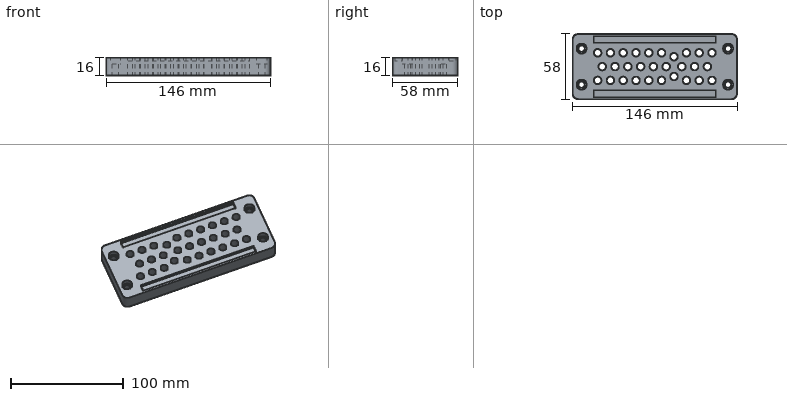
import cadquery as cq

LENGTH = 146.0
WIDTH = 58.0
HEIGHT = 16.0
CORNER_RADIUS = 5.0

MOUNT_SPACING_X = 130.0
MOUNT_SPACING_Y = 32.0
MOUNT_HOLE_DIAMETER = 5.5
COUNTERBORE_DIAMETER = 9.0
COUNTERBORE_DEPTH = 5.5

HOLE_DIAMETER = 6.5
HOLE_PITCH = 11.35
ROW_SPACING = 12.25
LEFT_GROUP_COUNT = 6
RIGHT_GROUP_COUNT = 3
OUTER_ROW_END_X = 50.75
MIDDLE_ROW_END_X = 46.65

GAP_HOLE_X = 17.0
GAP_HOLE_Y = 8.8

POCKET_LENGTH = 108.0
POCKET_WIDTH = 6.0
POCKET_DEPTH = 3.0
POCKET_CENTER_Y = 24.0


def row_points(end_x, y):
    """Hole centres of one row, each group counted inward from its end of the row."""
    left = [(-end_x + i * HOLE_PITCH, y) for i in range(LEFT_GROUP_COUNT)]
    right = [(end_x - i * HOLE_PITCH, y) for i in range(RIGHT_GROUP_COUNT)]
    return left + right


def make_plate():
    plate = cq.Workplane("XY").box(LENGTH, WIDTH, HEIGHT, centered=(True, True, False))
    return plate.edges("|Z").fillet(CORNER_RADIUS)


def top_plane():
    return cq.Workplane("XY").workplane(offset=HEIGHT)


def cut_mounting_holes(body):
    centers = top_plane().rect(MOUNT_SPACING_X, MOUNT_SPACING_Y, forConstruction=True).vertices()
    bores = centers.circle(MOUNT_HOLE_DIAMETER / 2).extrude(-HEIGHT)
    counterbores = centers.circle(COUNTERBORE_DIAMETER / 2).extrude(-COUNTERBORE_DEPTH)
    return body.cut(bores).cut(counterbores)


def cut_hole_pattern(body):
    points = row_points(MIDDLE_ROW_END_X, 0)
    for side in (-1, 1):
        points += row_points(OUTER_ROW_END_X, side * ROW_SPACING)
        points.append((GAP_HOLE_X, side * GAP_HOLE_Y))
    holes = top_plane().pushPoints(points).circle(HOLE_DIAMETER / 2).extrude(-HEIGHT)
    return body.cut(holes)


def cut_edge_pockets(body):
    centers = [(0, -POCKET_CENTER_Y), (0, POCKET_CENTER_Y)]
    pockets = top_plane().pushPoints(centers).rect(POCKET_LENGTH, POCKET_WIDTH).extrude(-POCKET_DEPTH)
    return body.cut(pockets)


result = make_plate()
result = cut_mounting_holes(result)
result = cut_hole_pattern(result)
result = cut_edge_pockets(result)